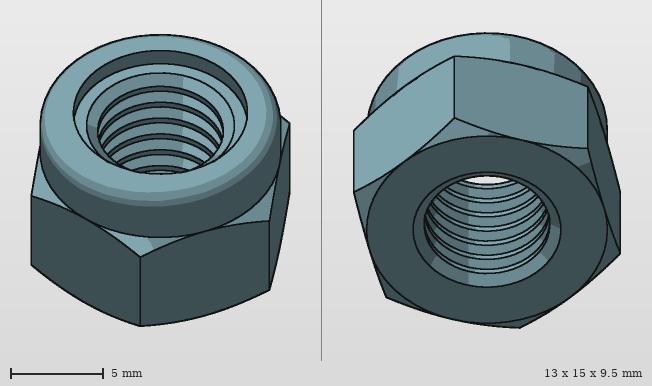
import cadquery as cq
import math

across_corners = 15.01
across_flats = across_corners * math.cos(math.pi / 6)
hex_height = 6.45
chamfer_angle = math.radians(30)

total_height = 9.5
collar_radius = across_flats / 2
collar_round = 1.0

recess_radius = 4.7
recess_depth = 1.0
recess_floor = total_height - recess_depth
thread_major_radius = 4.0
thread_minor_radius = 3.39
ridge_count = 7
ridge_pitch = recess_floor / ridge_count
crest_width = 0.36
flank_height = (ridge_pitch - crest_width) / 2


def chamfered_hexagon():
    """Hexagon with conical chamfers that touch the flats at both ends."""
    corner_radius = across_corners / 2
    chamfer_height = (corner_radius - collar_radius) * math.tan(chamfer_angle)
    hexagon = cq.Workplane("XY").polygon(6, across_corners).extrude(hex_height)
    hexagon = hexagon.rotate((0, 0, 0), (0, 0, 1), 30)
    envelope = (
        cq.Workplane("XZ")
        .polyline([
            (0, 0),
            (collar_radius, 0),
            (corner_radius, chamfer_height),
            (corner_radius, hex_height - chamfer_height),
            (collar_radius, hex_height),
            (0, hex_height),
        ])
        .close()
        .revolve(360, (0, 0, 0), (0, 1, 0))
    )
    return hexagon.intersect(envelope)


def rounded_collar():
    collar = cq.Workplane("XY").circle(collar_radius).extrude(total_height)
    return collar.faces(">Z").edges().fillet(collar_round)


def bore():
    """Recess and bore with flat-crested ridges between sharp V grooves."""
    profile = [(0, 0), (thread_major_radius, 0)]
    for ridge in range(ridge_count):
        ridge_bottom = ridge * ridge_pitch
        ridge_top = ridge_bottom + ridge_pitch
        profile += [
            (thread_minor_radius, ridge_bottom + flank_height),
            (thread_minor_radius, ridge_top - flank_height),
            (thread_major_radius, ridge_top),
        ]
    profile += [
        (recess_radius, recess_floor),
        (recess_radius, total_height),
        (0, total_height),
    ]
    return cq.Workplane("XZ").polyline(profile).close().revolve(360, (0, 0, 0), (0, 1, 0))


result = chamfered_hexagon().union(rounded_collar()).cut(bore())